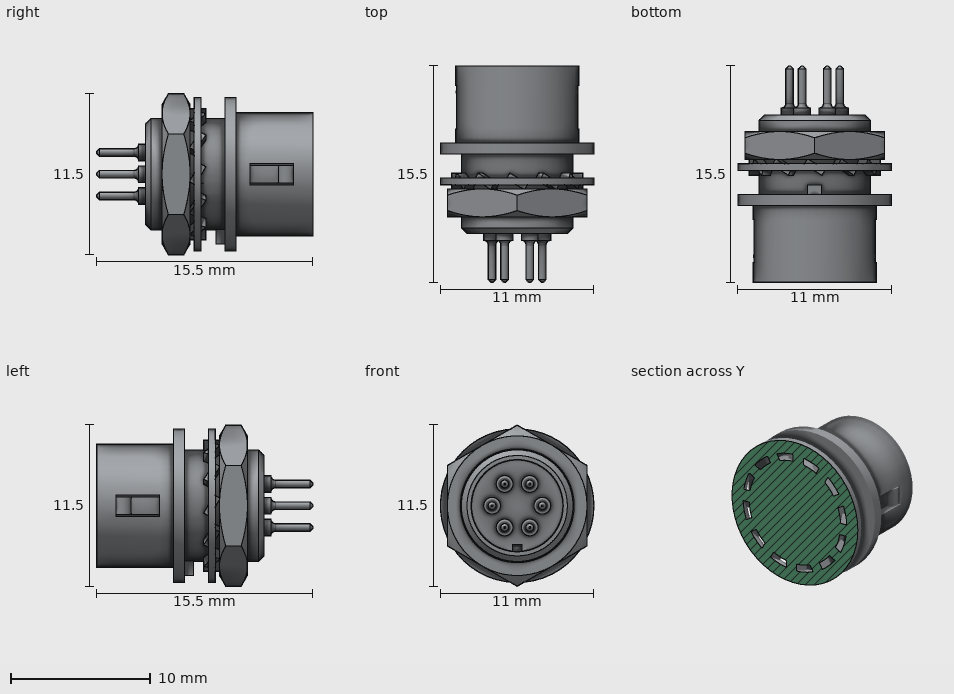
import cadquery as cq
import math


total_length = 15.5
shell_radius = 4.42
shell_length = 5.5
flange_radius = 5.5
flange_thickness = 0.8
body_radius = 4.0
body_chamfer = 0.4
body_front = 3.5
bore_radius = 3.3
bore_depth = 1.5
flange_back = total_length - shell_length
flange_front = flange_back - flange_thickness

tab_width = 1.0
tab_length = 0.65
tab_reach = 5.0

nut_flats = 10.0
nut_thickness = 2.0
nut_front = 4.7
nut_sides = 6
nut_chamfer_angle = 30.0
nut_relief_radius = 4.08
nut_relief_depth = 0.2

washer_thickness = 0.5
washer_front = 6.99
washer_bore_radius = 4.5
tooth_count = 12
tooth_tip_radius = 4.7
tooth_length = 1.5
tooth_thickness = 0.5
tooth_tilt = 30.0
tooth_embed = 0.08

insulator_radius = 3.27
insulator_recess = 0.5
key_width = 0.7
keyway_top = 2.77
key_top = 2.9
keyway_depth = bore_depth - insulator_recess

pin_count = 6
pin_circle_radius = 1.8
head_radius = 0.6
head_front = 3.0
wire_radius = 0.28
neck_radius = 0.31
tip_chamfer = 0.22

window_end_gap = 1.41
window_length = 3.1
window_width = 1.55
window_floor_radius = 3.6
tongue_width = 1.27
tongue_radius = 3.98
bump_radius = 0.65
bump_crest_radius = 4.37
bump_from_end = 1.88


def cylinder(radius, y_start, y_end):
    """Solid cylinder about the Y axis."""
    return cq.Workplane("XZ", origin=(0, y_start, 0)).circle(radius).extrude(y_start - y_end)


def box(x_range, y_range, z_range):
    """Box given by its limits along each axis."""
    sizes = [high - low for low, high in (x_range, y_range, z_range)]
    corner = (x_range[0], y_range[0], z_range[0])
    return cq.Workplane("XY").box(*sizes, centered=False).translate(corner)


def turn(part, angle):
    """Rotate a part about the connector axis."""
    return part.rotate((0, 0, 0), (0, 1, 0), angle)


def make_shell():
    body = cylinder(body_radius, body_front, flange_front).faces("<Y").chamfer(body_chamfer)
    shell = cylinder(shell_radius, flange_back, total_length)
    flange = cylinder(flange_radius, flange_front, flange_back)
    tab = box(
        (-tab_width / 2, tab_width / 2),
        (flange_front - tab_length, flange_back),
        (-tab_reach, 0),
    )
    bore = cylinder(bore_radius, body_front, body_front + bore_depth)
    return body.union(shell).union(flange).union(tab).cut(bore)


def add_latch(shell):
    """Cut a window on the -X side and add the tongue with its rounded bump."""
    window_end = total_length - window_end_gap
    window_start = window_end - window_length
    window = box(
        (-flange_radius, 0),
        (window_start, window_end),
        (-window_width / 2, window_width / 2),
    ).cut(cylinder(window_floor_radius, 0, total_length))

    tongue_space = box(
        (-flange_radius, 0),
        (window_start, window_end),
        (-tongue_width / 2, tongue_width / 2),
    )
    tongue = cylinder(tongue_radius, window_start, window_end)
    bump = (
        cq.Workplane("XY", origin=(bump_radius - bump_crest_radius, total_length - bump_from_end, 0))
        .circle(bump_radius)
        .extrude(tongue_width / 2, both=True)
    )
    return shell.cut(window).union(tongue.union(bump).intersect(tongue_space))


def make_nut():
    corner_radius = nut_flats / math.sqrt(3)
    flat_radius = nut_flats / 2
    corner_drop = (corner_radius - flat_radius) * math.tan(math.radians(nut_chamfer_angle))
    nut_back = nut_front + nut_thickness
    hexagon = turn(
        cq.Workplane("XZ", origin=(0, nut_front, 0))
        .polygon(nut_sides, 2 * corner_radius)
        .extrude(-nut_thickness),
        180 / nut_sides,
    )
    chamfer_envelope = (
        cq.Workplane("XY")
        .moveTo(0, nut_front)
        .lineTo(flat_radius, nut_front)
        .lineTo(corner_radius, nut_front + corner_drop)
        .lineTo(corner_radius, nut_back - corner_drop)
        .lineTo(flat_radius, nut_back)
        .lineTo(0, nut_back)
        .close()
        .revolve(360, (0, 0, 0), (0, 1, 0))
    )
    relief = cylinder(nut_relief_radius, nut_front, nut_front + nut_relief_depth)
    core = cylinder(body_radius - tooth_embed, nut_front, nut_back)
    return hexagon.intersect(chamfer_envelope).cut(relief).cut(core)


def make_washer():
    washer_back = washer_front + washer_thickness
    washer = cylinder(flange_radius, washer_front, washer_back)
    washer = washer.cut(cylinder(washer_bore_radius, washer_front, washer_back))
    tooth_root = body_radius - tooth_embed
    tooth = (
        cq.Workplane("XY")
        .box(tooth_length, tooth_thickness, tooth_tip_radius - tooth_root)
        .rotate((0, 0, 0), (0, 0, 1), -tooth_tilt)
        .translate((0, (washer_front + washer_back) / 2, (tooth_tip_radius + tooth_root) / 2))
    )
    for index in range(tooth_count):
        washer = washer.union(turn(tooth, index * 360 / tooth_count))
    return washer


def make_insulator():
    face = body_front + insulator_recess
    insulator = cylinder(insulator_radius, face, body_front + bore_depth)
    keyway = box(
        (-key_width / 2, key_width / 2),
        (face, face + keyway_depth),
        (-bore_radius, -keyway_top),
    )
    key = (
        cq.Workplane("XY", origin=(0, face + keyway_depth, -bore_radius))
        .circle(key_width / 2)
        .extrude(bore_radius - key_top)
    )
    return insulator.cut(keyway).union(key)


def make_pin():
    neck_end = head_front - neck_radius
    arc_offset = neck_radius * (1 - math.sqrt(0.5))
    return (
        cq.Workplane("XY")
        .moveTo(0, 0)
        .lineTo(wire_radius - tip_chamfer, 0)
        .lineTo(wire_radius, tip_chamfer)
        .lineTo(wire_radius, neck_end)
        .threePointArc(
            (wire_radius + arc_offset, head_front - arc_offset),
            (wire_radius + neck_radius, head_front),
        )
        .lineTo(head_radius, head_front)
        .lineTo(head_radius, body_front + bore_depth)
        .lineTo(0, body_front + bore_depth)
        .close()
        .revolve(360, (0, 0, 0), (0, 1, 0))
    )


connector = add_latch(make_shell())
connector = turn(add_latch(turn(connector, 180)), -180)
connector = connector.union(make_nut()).union(make_washer()).union(make_insulator())

pin = make_pin().translate((pin_circle_radius, 0, 0))
for index in range(pin_count):
    connector = connector.union(turn(pin, index * 360 / pin_count))

result = connector